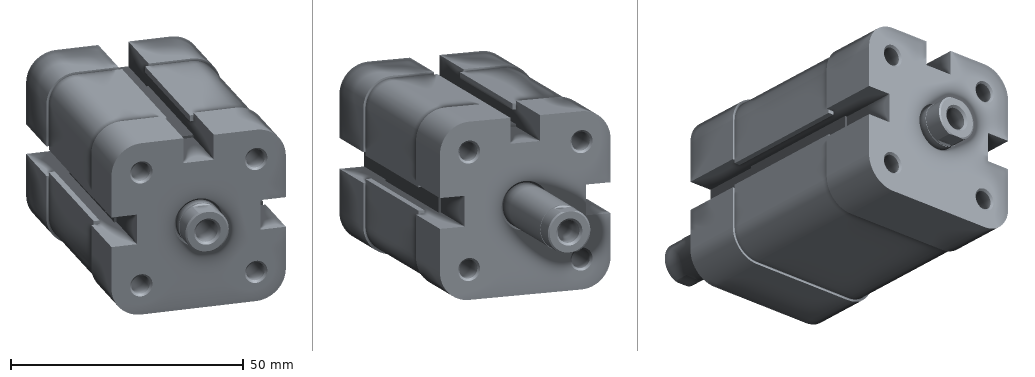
import cadquery as cq
import math


ROD_LENGTH = 91.0
ROD_FRONT_OVERHANG = 25.9
ROD_REAR_OVERHANG = 6.0
CAP_LENGTH = 14.0
ROD_FRONT_X = -ROD_LENGTH / 2
FRONT_FACE_X = ROD_FRONT_X + ROD_FRONT_OVERHANG
REAR_FACE_X = ROD_LENGTH / 2 - ROD_REAR_OVERHANG
BARREL_FRONT_X = FRONT_FACE_X + CAP_LENGTH
BARREL_LENGTH = REAR_FACE_X - FRONT_FACE_X - 2 * CAP_LENGTH

CAP_SIDE = 39.5
BOLT_SPACING = 26.0
BARREL_INSET = 0.55
BARREL_SIDE = CAP_SIDE - 2 * BARREL_INSET
CAP_CORNER_RADIUS = (CAP_SIDE - BOLT_SPACING) / 2
BARREL_CORNER_RADIUS = CAP_CORNER_RADIUS - BARREL_INSET

SLOT_WIDTH = 6.8
CAP_SLOT_FLOOR = CAP_SIDE / 2 - 5.7
BARREL_SLOT_FLOOR = CAP_SLOT_FLOOR + BARREL_INSET
SLOT_MOUTH_WIDTH = 5.2
SLOT_LIP_THICKNESS = 1.4
SLOT_ANGLES = (-90, 0, 90)

BOLT_HOLE_DIAMETER = 4.2
BOLT_HOLE_CHAMFER = 0.5

ROD_DIAMETER = 10.0
ROD_NECK_DIAMETER = 9.8
ROD_NECK_LENGTH = 4.5
BORE_CHAMFER = 0.5
ROD_FACE_DIAMETER = 9.1
ROD_END_CHAMFER_LENGTH = 0.2
FLAT_SPACING = 9.0
FLAT_DEPTH = (ROD_DIAMETER - FLAT_SPACING) / 2
FLAT_LENGTH = ROD_NECK_LENGTH - FLAT_DEPTH
ROD_HOLE_DIAMETER = 5.0
ROD_HOLE_MOUTH_DIAMETER = 6.0
ROD_HOLE_DEPTH = 10.9
DRILL_POINT_ANGLE = 118.0


def square_prism(side, corner_radius, length):
    """Square bar with rounded corners, from x = 0 to x = length."""
    prism = cq.Workplane("YZ").rect(side, side).extrude(length)
    return prism.edges("|X").fillet(corner_radius)


def slot_cutter(width, floor, top, length):
    """Bar that fills a slot on the +Z side between two heights above the axis."""
    size = (length, width, top - floor)
    return cq.Workplane("XY").box(*size, centered=(False, True, False)).translate((0, 0, floor))


def cut_slots(body, cutter):
    """Cut the same slot into each slotted side."""
    for angle in SLOT_ANGLES:
        body = body.cut(cutter.rotate((0, 0, 0), (1, 0, 0), angle))
    return body


def cut_bolt_and_rod_holes(body):
    """Cut the four bolt holes and the central rod bore right through."""
    body = body.faces("<X").workplane(origin=(0, 0, 0))
    body = body.rect(BOLT_SPACING, BOLT_SPACING, forConstruction=True).vertices().hole(BOLT_HOLE_DIAMETER)
    return body.faces("<X").workplane(origin=(0, 0, 0)).hole(ROD_DIAMETER)


def countersink(hole_diameter, chamfer):
    """45-degree cone that chamfers the mouth, at x = 0, of a hole running along +X."""
    mouth_radius = hole_diameter / 2 + chamfer
    cone = cq.Solid.makeCone(mouth_radius, hole_diameter / 2, chamfer, dir=cq.Vector(1, 0, 0))
    return cq.Workplane(cone)


def make_cap():
    """End cap from x = 0 to x = CAP_LENGTH, with its outer face at x = 0."""
    cap = square_prism(CAP_SIDE, CAP_CORNER_RADIUS, CAP_LENGTH)
    cap = cut_slots(cap, slot_cutter(SLOT_WIDTH, CAP_SLOT_FLOOR, CAP_SIDE, CAP_LENGTH))
    cap = cut_bolt_and_rod_holes(cap)
    half_spacing = BOLT_SPACING / 2
    for y in (-half_spacing, half_spacing):
        for z in (-half_spacing, half_spacing):
            cap = cap.cut(countersink(BOLT_HOLE_DIAMETER, BOLT_HOLE_CHAMFER).translate((0, y, z)))
    return cap.cut(countersink(ROD_DIAMETER, BORE_CHAMFER))


def make_barrel():
    """Barrel from x = 0 to x = BARREL_LENGTH, with lipped slots."""
    barrel = square_prism(BARREL_SIDE, BARREL_CORNER_RADIUS, BARREL_LENGTH)
    lip_underside = BARREL_SIDE / 2 - SLOT_LIP_THICKNESS
    barrel = cut_slots(barrel, slot_cutter(SLOT_WIDTH, BARREL_SLOT_FLOOR, lip_underside, BARREL_LENGTH))
    barrel = cut_slots(barrel, slot_cutter(SLOT_MOUTH_WIDTH, BARREL_SLOT_FLOOR, BARREL_SIDE, BARREL_LENGTH))
    return cut_bolt_and_rod_holes(barrel)


def rod_hole_cutter():
    """Blind hole along +X from x = 0, with a chamfered mouth and a drill-point cone at its end."""
    radius = ROD_HOLE_DIAMETER / 2
    tip_length = radius / math.tan(math.radians(DRILL_POINT_ANGLE / 2))
    mouth_radius = ROD_HOLE_MOUTH_DIAMETER / 2
    profile = [
        (0, 0),
        (0, mouth_radius),
        (mouth_radius - radius, radius),
        (ROD_HOLE_DEPTH, radius),
        (ROD_HOLE_DEPTH + tip_length, 0),
    ]
    return cq.Workplane("XY").polyline(profile).close().revolve(360, (0, 0), (1, 0))


def flat_cutter():
    """Wedge that cuts the wrench flat on the +Z side, ending in a 45-degree slope."""
    profile = [
        (0, FLAT_SPACING / 2),
        (FLAT_LENGTH, FLAT_SPACING / 2),
        (FLAT_LENGTH + FLAT_DEPTH, ROD_DIAMETER / 2),
        (0, ROD_DIAMETER / 2),
    ]
    return cq.Workplane("XZ").polyline(profile).close().extrude(ROD_DIAMETER / 2, both=True)


def make_rod():
    """Piston rod from x = 0 to x = ROD_LENGTH, with the same flatted neck at both ends."""
    face_radius = ROD_FACE_DIAMETER / 2
    neck_radius = ROD_NECK_DIAMETER / 2
    radius = ROD_DIAMETER / 2
    profile = [
        (0, 0),
        (0, face_radius),
        (ROD_END_CHAMFER_LENGTH, neck_radius),
        (ROD_NECK_LENGTH, neck_radius),
        (ROD_NECK_LENGTH, radius),
        (ROD_LENGTH - ROD_NECK_LENGTH, radius),
        (ROD_LENGTH - ROD_NECK_LENGTH, neck_radius),
        (ROD_LENGTH - ROD_END_CHAMFER_LENGTH, neck_radius),
        (ROD_LENGTH, face_radius),
        (ROD_LENGTH, 0),
    ]
    rod = cq.Workplane("XY").polyline(profile).close().revolve(360, (0, 0), (1, 0))
    upper_flat = flat_cutter()
    lower_flat = upper_flat.mirror("XY")
    for cutter in (upper_flat, lower_flat, rod_hole_cutter()):
        rod = rod.cut(cutter)
        rod = rod.cut(cutter.mirror("YZ").translate((ROD_LENGTH, 0, 0)))
    return rod


front_cap = make_cap().translate((FRONT_FACE_X, 0, 0))
rear_cap = make_cap().mirror("YZ").translate((REAR_FACE_X, 0, 0))
barrel = make_barrel().translate((BARREL_FRONT_X, 0, 0))
rod = make_rod().translate((ROD_FRONT_X, 0, 0))

result = cq.Compound.makeCompound([front_cap.val(), barrel.val(), rear_cap.val(), rod.val()])